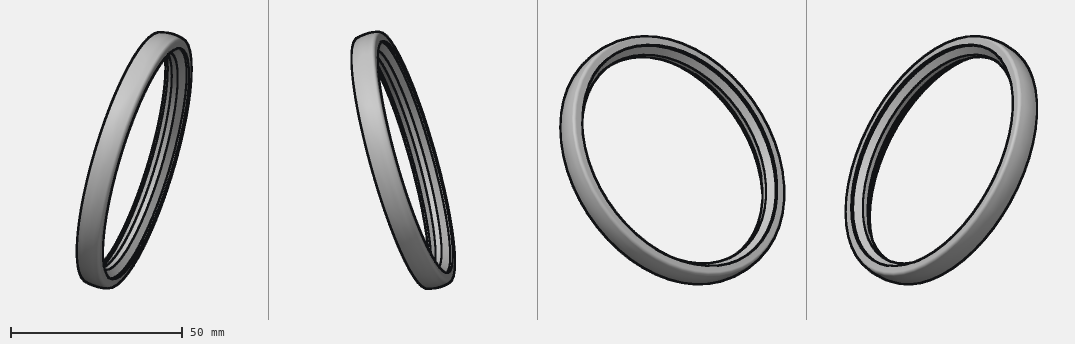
import cadquery as cq
import math

width = 7.4
outer_diameter = 76.8
land_diameter = 66.0
lip_diameter = 70.0
lip_length = 0.8
crown_radius = 11.5
edge_radius = 1.0

half_width = width / 2
outer_radius = outer_diameter / 2
land_radius = land_diameter / 2
lip_radius = lip_diameter / 2
lip_end = half_width - lip_length
land_end = lip_end - (lip_radius - land_radius)

crown_center = outer_radius - crown_radius
edge_center_x = half_width - edge_radius
edge_center_r = crown_center + math.sqrt((crown_radius - edge_radius) ** 2 - edge_center_x**2)
crown_end_angle = math.asin(edge_center_x / (crown_radius - edge_radius))
crown_end_x = crown_radius * math.sin(crown_end_angle)
crown_end_r = crown_center + crown_radius * math.cos(crown_end_angle)
edge_mid_angle = (crown_end_angle + math.pi / 2) / 2
edge_mid_x = edge_center_x + edge_radius * math.sin(edge_mid_angle)
edge_mid_r = edge_center_r + edge_radius * math.cos(edge_mid_angle)

section = (
    cq.Workplane("XY")
    .moveTo(-land_end, land_radius)
    .lineTo(-lip_end, lip_radius)
    .lineTo(-half_width, lip_radius)
    .lineTo(-half_width, edge_center_r)
    .threePointArc((-edge_mid_x, edge_mid_r), (-crown_end_x, crown_end_r))
    .threePointArc((0, outer_radius), (crown_end_x, crown_end_r))
    .threePointArc((edge_mid_x, edge_mid_r), (half_width, edge_center_r))
    .lineTo(half_width, lip_radius)
    .lineTo(lip_end, lip_radius)
    .lineTo(land_end, land_radius)
    .close()
)

result = section.revolve(360, (0, 0, 0), (1, 0, 0))